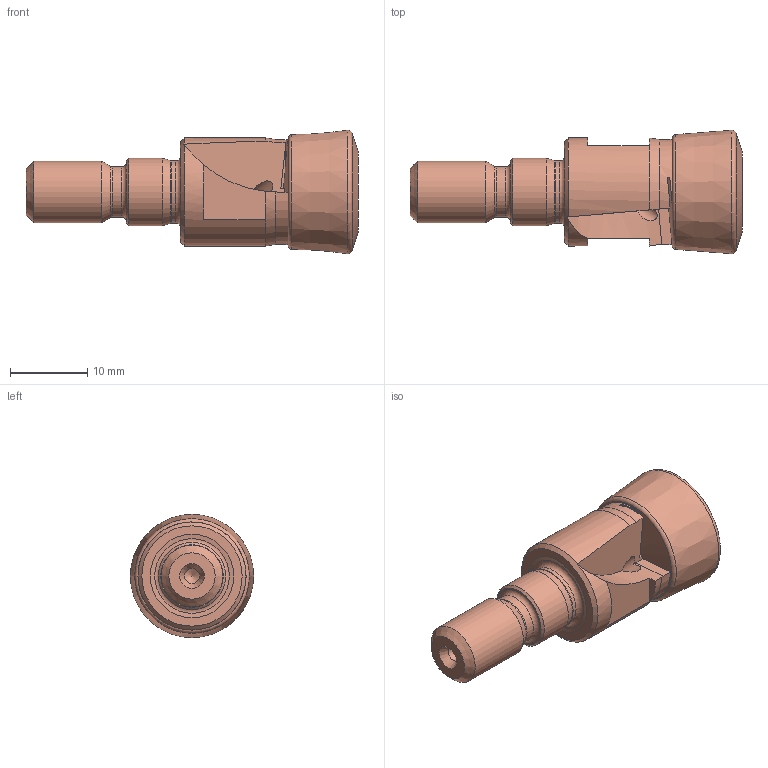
import cadquery as cq
import math


pilot_radius = 8.0 / 2
pilot_chamfer = 1.0
pilot_end = 9.8
groove_radius = 6.5 / 2
groove_slope = math.radians(30)
groove_end = 13.0
groove_fillet = 0.6
transition_radius = 0.5

collar_radius = 8.7 / 2
collar_chamfer = 0.3
collar_end = 17.7
undercut_radius = 8.1 / 2
undercut_slope = math.radians(15)
undercut_fillet = 0.68
undercut_depth = 0.2
undercut_face_radius = 5.4

body_start = 20.0
body_radius = 14.0 / 2
body_chamfer = 0.5
body_end = 31.0
neck_start = 32.3
neck_radius = 13.6 / 2

head_apex = 33.3
head_start = 34.0
head_back_radius = 7.4
head_back_round = 0.5
head_rim = 42.1
head_rim_radius = 8.03
head_rim_round = 0.6
head_end = 43.0
head_end_radius = 5.2

centre_sink_radius = 3.2 / 2
centre_hole_radius = 2.0 / 2
centre_sink_half_angle = math.radians(30)
centre_sink_depth = (centre_sink_radius - centre_hole_radius) / math.tan(centre_sink_half_angle)
centre_hole_length = 1.5
centre_hole_depth = centre_sink_depth + centre_hole_length
drill_tip_half_angle = math.radians(59)
centre_tip_depth = centre_hole_radius / math.tan(drill_tip_half_angle)

flat_start = 23.0
flat_half_width = 6.0
flat_length = body_end - flat_start

wall_corner_x = body_start + body_chamfer
wall_corner_y = -3.24
wall_angle = 5.0
floor_radius = 14.5
floor_tangent = 11.75
floor_sweep = math.radians(60)
notch_length = 20.0

slot_floor = 0.4
slot_bottom_x = 33.0
slot_depth = 4.0
slot_tilt = math.radians(6.3)

relief_radius = 2.0 / 2
relief_x = 30.5
relief_direction = (0.65, -0.5, 0.57)
relief_depth = 3.0
relief_overrun = 2.5

margin = 10.0


def rounded_corner(before, corner, after, radius):
    """Start, middle and end of the arc that rounds the corner of two straight lines."""
    point = cq.Vector(*corner)
    back = (cq.Vector(*before) - point).normalized()
    ahead = (cq.Vector(*after) - point).normalized()
    half_angle = back.getAngle(ahead) / 2
    reach = radius / math.tan(half_angle)
    bisector = (back + ahead).normalized()
    middle = point + bisector * (radius / math.sin(half_angle) - radius)
    return point + back * reach, middle, point + ahead * reach


def revolve_profile(profile):
    """Revolve (x, radius, corner rounding) points about the X axis."""
    first, last = profile[0], profile[-1]
    outline = cq.Workplane("XY").moveTo(first[0], first[1])
    for before, corner, after in zip(profile, profile[1:], profile[2:]):
        if corner[2] > 0:
            start, middle, end = rounded_corner(before[:2], corner[:2], after[:2], corner[2])
            outline = outline.lineTo(start.x, start.y)
            outline = outline.threePointArc((middle.x, middle.y), (end.x, end.y))
        else:
            outline = outline.lineTo(corner[0], corner[1])
    outline = outline.lineTo(last[0], last[1]).close()
    return outline.revolve(360, (0, 0, 0), (1, 0, 0))


def make_shaft():
    groove_start = pilot_end + (pilot_radius - groove_radius) / math.tan(groove_slope)
    undercut_start = collar_end + (collar_radius - undercut_radius) / math.tan(undercut_slope)
    return revolve_profile([
        (0, 0, 0),
        (0, pilot_radius - pilot_chamfer, 0),
        (pilot_chamfer, pilot_radius, 0),
        (pilot_end, pilot_radius, 0),
        (groove_start, groove_radius, transition_radius),
        (groove_end, groove_radius, groove_fillet),
        (groove_end, collar_radius - collar_chamfer, 0),
        (groove_end + collar_chamfer, collar_radius, 0),
        (collar_end, collar_radius, 0),
        (undercut_start, undercut_radius, transition_radius),
        (body_start + undercut_depth, undercut_radius, undercut_fillet),
        (body_start, undercut_face_radius, 0),
        (body_start, body_radius - body_chamfer, 0),
        (body_start + body_chamfer, body_radius, 0),
        (body_end, body_radius, 0),
        (neck_start, neck_radius, 0),
        (head_start, neck_radius, 0),
        (head_start, 0, 0),
    ])


def make_head():
    return revolve_profile([
        (head_apex, 0, 0),
        (head_start, head_back_radius, head_back_round),
        (head_rim, head_rim_radius, head_rim_round),
        (head_end, head_end_radius, 0),
        (head_end, 0, 0),
    ])


def centre_drilling():
    return revolve_profile([
        (0, 0, 0),
        (0, centre_sink_radius, 0),
        (centre_sink_depth, centre_hole_radius, 0),
        (centre_hole_depth, centre_hole_radius, 0),
        (centre_hole_depth + centre_tip_depth, 0, 0),
    ])


def wrench_flat(side):
    centre = (flat_start + flat_length / 2, side * (flat_half_width + margin / 2), 0)
    return cq.Workplane("XY").box(flat_length, margin, 2 * margin).translate(centre)


def wall_y(x):
    """Y of the notch wall at the given X."""
    return wall_corner_y + (x - wall_corner_x) * math.tan(math.radians(wall_angle))


def notch():
    """Cutter whose floor sweeps down to z = 0; its wall lies at local y = 0."""
    arc_top = (
        floor_tangent - floor_radius * math.sin(floor_sweep),
        floor_radius * (1 - math.cos(floor_sweep)),
    )
    arc_middle = (
        floor_tangent - floor_radius * math.sin(floor_sweep / 2),
        floor_radius * (1 - math.cos(floor_sweep / 2)),
    )
    cutter = (
        cq.Workplane("XZ")
        .moveTo(*arc_top)
        .threePointArc(arc_middle, (floor_tangent, 0))
        .lineTo(notch_length, 0)
        .lineTo(notch_length, arc_top[1])
        .close()
        .extrude(margin)
    )
    cutter = cutter.rotate((0, 0, 0), (0, 0, 1), wall_angle)
    return cutter.translate((wall_corner_x, wall_corner_y, 0))


def clearance_slot():
    """Cutter square to the notch wall, open upward, with a leaning front face."""
    width = head_start - slot_bottom_x
    height = margin - slot_floor
    cutter = (
        cq.Workplane("XZ", origin=(0, slot_depth, slot_floor))
        .lineTo(width, 0)
        .lineTo(width, height)
        .lineTo(height * math.tan(slot_tilt), height)
        .close()
        .extrude(margin)
    )
    cutter = cutter.rotate((0, 0, 0), (0, 0, 1), wall_angle)
    return cutter.translate((slot_bottom_x, wall_y(slot_bottom_x), 0))


def relief_hole():
    direction = cq.Vector(*relief_direction).normalized()
    opening = cq.Vector(relief_x, wall_y(relief_x), 0)
    bottom = opening - direction * relief_depth
    length = relief_depth + relief_overrun
    return cq.Workplane(cq.Solid.makeCylinder(relief_radius, length, bottom, direction))


shaft = make_shaft().cut(centre_drilling())
for side in (-1, 1):
    shaft = shaft.cut(wrench_flat(side))
shaft = shaft.cut(notch()).cut(clearance_slot())
shaft = shaft.cut(relief_hole())

result = shaft.union(make_head())